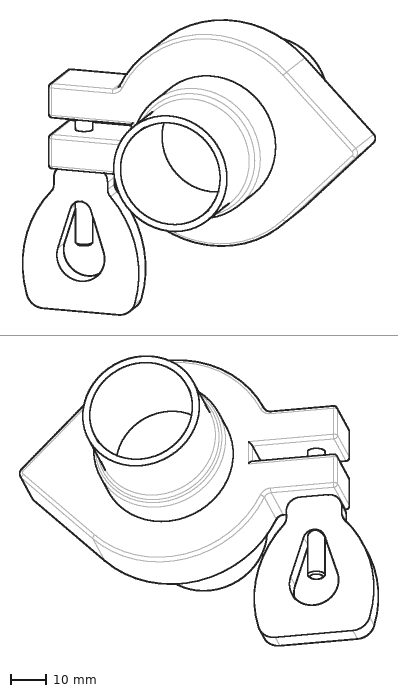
import cadquery as cq
import math

pipe_radius = 33.7 / 2
collar_radius = 38.0 / 2
bore_radius = 29.7 / 2
pipe_length = 90.0
pipe_back = 44.0
pipe_front = pipe_back - pipe_length
back_spigot_length = 20.9
front_spigot_length = 19.5
shoulder_radius = 2.0
back_shoulder_angle = math.radians(50)

clamp_radius = 30.9
clamp_width = 18.0
nose_radius = 1.8
jaw_end_x = -48.8
jaw_half_height = 12.5
jaw_root_radius = 2.2
slot_height = 4.9
slot_floor_x = -24.3
edge_radius = 1.0

pin_x = -41.0
pin_diameter = 5.0
pin_bottom_z = -36.0
pin_chamfer = 0.6

handle_thickness = 6.2
handle_top_z = -jaw_half_height
handle_bottom_z = -55.0
neck_half_width = 8.0
neck_corner_radius = 3.9
neck_root_radius = 3.0
wing_half_width = 17.3
wing_flank_radius = 32.4
wing_centre_z = -42.4
wing_corner_radius = 5.1
window_radius = 7.1
window_z = -39.0
window_top_radius = 3.1
window_top_z = -25.9


def extrude_centred(profile, width):
    """Extrude an XZ profile equally to both sides of Y = 0."""
    return profile.extrude(width / 2, both=True)


def spigot(end_y, length, angle, direction):
    """Half pipe from the clamp centre to end_y, with an S-shaped shoulder of the given slope."""
    half_angle = angle / 2
    arc_length = shoulder_radius * math.sin(angle)
    arc_rise = shoulder_radius * (1 - math.cos(angle))
    mid_length = shoulder_radius * math.sin(half_angle)
    mid_rise = shoulder_radius * (1 - math.cos(half_angle))
    cone_rise = max(collar_radius - pipe_radius - 2 * arc_rise, 0)
    cone_length = cone_rise / math.tan(angle)

    outer_y = end_y - direction * length
    inner_y = outer_y - direction * (2 * arc_length + cone_length)
    profile = (
        cq.Workplane("XY")
        .moveTo(0, 0)
        .lineTo(collar_radius, 0)
        .lineTo(collar_radius, inner_y)
        .threePointArc(
            (collar_radius - mid_rise, inner_y + direction * mid_length),
            (collar_radius - arc_rise, inner_y + direction * arc_length),
        )
    )
    if cone_length > 0:
        profile = profile.lineTo(pipe_radius + arc_rise, outer_y - direction * arc_length)
    profile = (
        profile.threePointArc(
            (pipe_radius + mid_rise, outer_y - direction * mid_length),
            (pipe_radius, outer_y),
        )
        .lineTo(pipe_radius, end_y)
        .lineTo(0, end_y)
        .close()
    )
    return profile.revolve(360, (0, 0, 0), (0, 1, 0))


def bore(end_y, direction):
    """Blind bore from a pipe end to the plane of the clamp face."""
    depth = abs(end_y) - clamp_width / 2
    return (
        cq.Workplane("XZ", origin=(0, end_y, 0))
        .circle(bore_radius)
        .extrude(direction * depth)
    )


def make_clamp():
    tangent = clamp_radius / math.sqrt(2)
    apex = clamp_radius * math.sqrt(2)
    body = extrude_centred(cq.Workplane("XZ").circle(clamp_radius), clamp_width)
    nose = extrude_centred(
        cq.Workplane("XZ").polyline([(0, 0), (tangent, tangent), (apex, 0), (tangent, -tangent)]).close(),
        clamp_width,
    ).edges("|Y and >X").fillet(nose_radius)
    jaws = cq.Workplane("XY").box(-jaw_end_x, clamp_width, 2 * jaw_half_height)
    jaws = jaws.translate((jaw_end_x / 2, 0, 0))
    clamp = body.union(nose).union(jaws)

    jaw_root_x = -math.sqrt(clamp_radius**2 - jaw_half_height**2)
    for side in (-1, 1):
        root = cq.selectors.NearestToPointSelector((jaw_root_x, 0, side * jaw_half_height))
        clamp = clamp.edges("|Y").edges(root).fillet(jaw_root_radius)

    slot_length = slot_floor_x - jaw_end_x
    slot = cq.Workplane("XY").box(slot_length, clamp_width, slot_height)
    clamp = clamp.cut(slot.translate((jaw_end_x + slot_length / 2, 0, 0)))
    return clamp.edges("<Y or >Y or <X").fillet(edge_radius)


def make_pin():
    pin_top_z = jaw_half_height / 2
    return (
        cq.Workplane("XY", origin=(pin_x, 0, pin_bottom_z))
        .circle(pin_diameter / 2)
        .extrude(pin_top_z - pin_bottom_z)
        .faces("<Z")
        .chamfer(pin_chamfer)
    )


def make_window():
    """Teardrop opening: two circles joined by their common tangents."""
    tilt = math.asin((window_radius - window_top_radius) / (window_top_z - window_z))
    low_x = window_radius * math.cos(tilt)
    low_z = window_z + window_radius * math.sin(tilt)
    high_x = window_top_radius * math.cos(tilt)
    high_z = window_top_z + window_top_radius * math.sin(tilt)
    profile = (
        cq.Workplane("XZ", origin=(pin_x, 0, 0))
        .moveTo(low_x, low_z)
        .lineTo(high_x, high_z)
        .threePointArc((0, window_top_z + window_top_radius), (-high_x, high_z))
        .lineTo(-low_x, low_z)
        .threePointArc((0, window_z - window_radius), (low_x, low_z))
        .close()
    )
    return extrude_centred(profile, handle_thickness)


def make_handle():
    flank_centre_x = wing_half_width - wing_flank_radius
    neck_z = wing_centre_z + math.sqrt(wing_flank_radius**2 - (neck_half_width - flank_centre_x) ** 2)
    drop = wing_centre_z - handle_bottom_z
    bottom_half_width = flank_centre_x + math.sqrt(wing_flank_radius**2 - drop**2)
    profile = (
        cq.Workplane("XZ", origin=(pin_x, 0, 0))
        .moveTo(-neck_half_width, handle_top_z)
        .lineTo(neck_half_width, handle_top_z)
        .lineTo(neck_half_width, neck_z)
        .threePointArc((wing_half_width, wing_centre_z), (bottom_half_width, handle_bottom_z))
        .lineTo(-bottom_half_width, handle_bottom_z)
        .threePointArc((-wing_half_width, wing_centre_z), (-neck_half_width, neck_z))
        .close()
    )
    handle = extrude_centred(profile, handle_thickness)
    handle = handle.edges("|Y and >Z").fillet(neck_corner_radius)
    handle = handle.edges("|Y and <Z").fillet(wing_corner_radius)
    for side in (-1, 1):
        root = cq.selectors.NearestToPointSelector((pin_x + side * neck_half_width, 0, neck_z))
        handle = handle.edges("|Y").edges(root).fillet(neck_root_radius)
    return handle.cut(make_window())


front_shoulder_angle = math.acos(1 - (collar_radius - pipe_radius) / 2 / shoulder_radius)

result = (
    make_clamp()
    .union(spigot(pipe_back, back_spigot_length, back_shoulder_angle, 1))
    .union(spigot(pipe_front, front_spigot_length, front_shoulder_angle, -1))
    .cut(bore(pipe_back, 1))
    .cut(bore(pipe_front, -1))
    .union(make_handle())
    .union(make_pin())
)